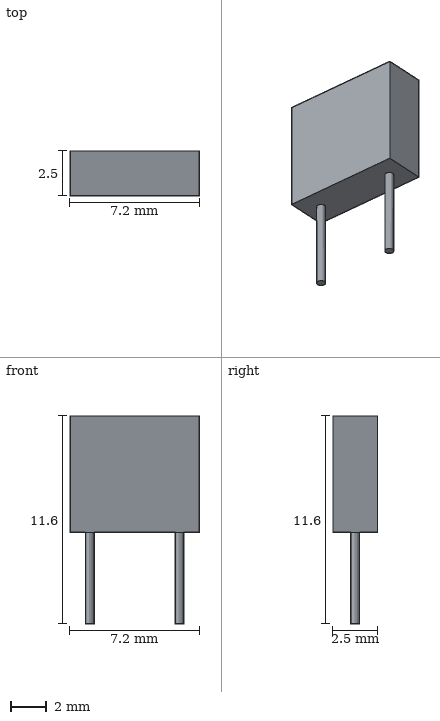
import cadquery as cq

total_height = 11.6
body_width = 7.2
body_depth = 2.5

lead_length = 5.1
lead_diameter = 0.5
lead_pitch = 5.0

body_height = total_height - lead_length


def make_body():
    """Rectangular case with its underside on Z = 0."""
    return cq.Workplane("XY").box(body_width, body_depth, body_height, centered=(True, True, False))


def make_lead(x):
    """Round lead hanging straight down from the underside of the case."""
    return cq.Workplane("XY").center(x, 0).circle(lead_diameter / 2).extrude(-lead_length)


body = make_body()
leads = [make_lead(side * lead_pitch / 2) for side in (-1, 1)]

result = cq.Compound.makeCompound([body.val(), *[lead.val() for lead in leads]])